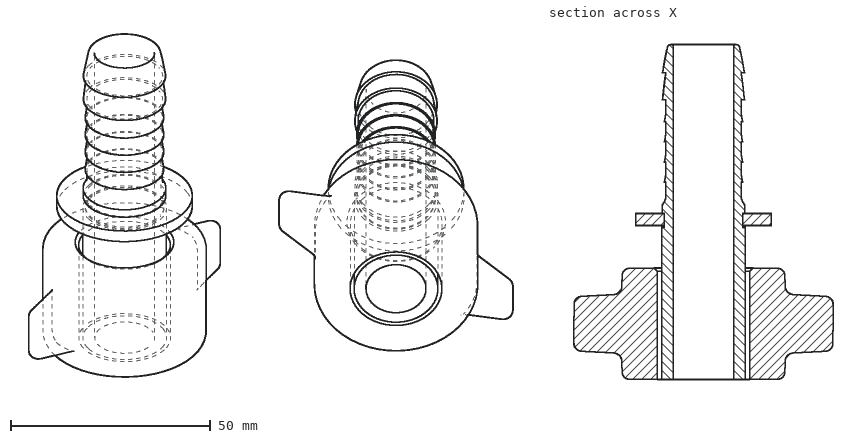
import cadquery as cq
import math

NUT_DIAMETER = 41.0
NUT_HEIGHT = 28.0
NUT_EDGE_RADIUS = 2.0
NUT_HOLE_DIAMETER = 23.0
NUT_HOLE_CHAMFER = 0.8

WING_SPAN = 65.0
WING_TIP_RADIUS = 2.4
WING_TIP_HEIGHT = 13.7
WING_SIDE_ANGLE = 15
WING_TOP_ANGLE = 3
WING_ROUND_RADIUS = 2.0
WING_START = 16.8

TOTAL_HEIGHT = 84
BORE_DIAMETER = 15.0
SPIGOT_DIAMETER = 21
SPIGOT_TOP = 38.1
NECK_DIAMETER = 19.7
COLLAR_DIAMETER = 20.75
COLLAR_TOP = 43.85
COLLAR_BLEND_HEIGHT = 2.3
ROOT_DIAMETER = 19.0
RIB_DIAMETER = 19.7
RIB_COUNT = 4
RIB_BOTTOM = 49.5
RIB_PITCH = 5
RIB_HEIGHT = 2.5
BARB_DIAMETER = 20.7
LOWER_BARB_BOTTOM = 70.05
UPPER_BARB_BOTTOM = 76.9
BARB_BULGE = 0.1
TIP_DIAMETER = 18.3
TIP_OUTER_RADIUS = 1.0
TIP_INNER_RADIUS = 0.6

WASHER_DIAMETER = 34.0
WASHER_BOTTOM = 38.55
WASHER_THICKNESS = 3.1
WASHER_TOP = WASHER_BOTTOM + WASHER_THICKNESS


def make_wing():
    """One tapered wing along +Y, centred on the height of the nut."""
    tip = WING_SPAN / 2
    length = tip - WING_START
    side_angle = math.radians(WING_SIDE_ANGLE)

    tangent_x = WING_TIP_RADIUS * math.cos(side_angle)
    tangent_y = tip - WING_TIP_RADIUS * (1 - math.sin(side_angle))
    half_root_width = tangent_x + (tangent_y - WING_START) * math.tan(side_angle)
    half_tip_height = WING_TIP_HEIGHT / 2
    half_root_height = half_tip_height + length * math.tan(math.radians(WING_TOP_ANGLE))

    plan = (
        cq.Workplane("XY")
        .moveTo(-half_root_width, WING_START)
        .lineTo(half_root_width, WING_START)
        .lineTo(tangent_x, tangent_y)
        .threePointArc((0, tip), (-tangent_x, tangent_y))
        .close()
        .extrude(half_root_height, both=True)
    )
    side = (
        cq.Workplane("YZ")
        .polyline([
            (WING_START, -half_root_height),
            (WING_START, half_root_height),
            (tip, half_tip_height),
            (tip, -half_tip_height),
        ])
        .close()
        .extrude(half_root_width, both=True)
    )
    wing = plan.intersect(side)
    wing = wing.faces("<Z or >Z").edges("not <Y").fillet(WING_ROUND_RADIUS)
    return wing.translate((0, 0, NUT_HEIGHT / 2))


def make_nut():
    """Round nut with two opposite wings and a clearance hole for the tail."""
    nut = cq.Workplane("XY").circle(NUT_DIAMETER / 2).extrude(NUT_HEIGHT)
    nut = nut.faces("<Z or >Z").edges().fillet(NUT_EDGE_RADIUS)
    wing = make_wing()
    for angle in (0, 180):
        nut = nut.union(wing.rotate((0, 0, 0), (0, 0, 1), angle))

    root_half_width = NUT_DIAMETER / 4
    for direction in (-1, 1):
        y_limits = sorted((direction * WING_START, direction * (NUT_DIAMETER / 2 + 0.8)))
        root_edges = cq.selectors.BoxSelector(
            (-root_half_width, y_limits[0], NUT_EDGE_RADIUS + 0.8),
            (root_half_width, y_limits[1], NUT_HEIGHT - NUT_EDGE_RADIUS - 0.8),
        )
        nut = nut.edges(root_edges).fillet(WING_ROUND_RADIUS)

    nut = nut.cut(cq.Workplane("XY").circle(NUT_HOLE_DIAMETER / 2).extrude(NUT_HEIGHT))
    hole_edge = cq.selectors.RadiusNthSelector(0)
    return nut.faces(">Z").edges(hole_edge).chamfer(NUT_HOLE_CHAMFER)


def flank_middle(bottom, top):
    """Middle point of a slightly bowed barb flank between two (radius, height) points."""
    return ((bottom[0] + top[0]) / 2 + BARB_BULGE, (bottom[1] + top[1]) / 2)


def make_tail():
    """Hollow hose tail, revolved from its half section."""
    bore = BORE_DIAMETER / 2
    spigot = SPIGOT_DIAMETER / 2
    neck = NECK_DIAMETER / 2
    collar = COLLAR_DIAMETER / 2
    root = ROOT_DIAMETER / 2
    rib = RIB_DIAMETER / 2
    barb = BARB_DIAMETER / 2
    tip = TIP_DIAMETER / 2

    profile = (
        cq.Workplane("XZ")
        .moveTo(bore, 0)
        .lineTo(spigot, 0)
        .lineTo(spigot, SPIGOT_TOP)
        .lineTo(neck, SPIGOT_TOP)
        .lineTo(neck, WASHER_TOP)
        .lineTo(collar, WASHER_TOP)
        .lineTo(collar, COLLAR_TOP)
    )

    step = collar - root
    blend_radius = (step**2 + COLLAR_BLEND_HEIGHT**2) / (2 * step)
    profile = profile.radiusArc((root, COLLAR_TOP + COLLAR_BLEND_HEIGHT), blend_radius)

    for index in range(RIB_COUNT):
        bottom = RIB_BOTTOM + index * RIB_PITCH
        profile = (
            profile.lineTo(root, bottom)
            .lineTo(rib, bottom)
            .lineTo(root, bottom + RIB_HEIGHT)
        )

    lower_bottom = (barb, LOWER_BARB_BOTTOM)
    lower_top = (root, UPPER_BARB_BOTTOM)
    upper_bottom = (barb, UPPER_BARB_BOTTOM)
    upper_top = (tip, TOTAL_HEIGHT - TIP_OUTER_RADIUS)
    profile = (
        profile.lineTo(root, LOWER_BARB_BOTTOM)
        .lineTo(*lower_bottom)
        .threePointArc(flank_middle(lower_bottom, lower_top), lower_top)
        .lineTo(*upper_bottom)
        .threePointArc(flank_middle(upper_bottom, upper_top), upper_top)
    )

    profile = (
        profile.radiusArc((tip - TIP_OUTER_RADIUS, TOTAL_HEIGHT), -TIP_OUTER_RADIUS)
        .lineTo(bore + TIP_INNER_RADIUS, TOTAL_HEIGHT)
        .radiusArc((bore, TOTAL_HEIGHT - TIP_INNER_RADIUS), -TIP_INNER_RADIUS)
        .close()
    )
    return profile.revolve(360, (0, 0, 0), (0, 1, 0))


def make_washer():
    """Flat washer seated in the neck groove, against the collar."""
    return (
        cq.Workplane("XY", origin=(0, 0, WASHER_BOTTOM))
        .circle(WASHER_DIAMETER / 2)
        .circle(NECK_DIAMETER / 2)
        .extrude(WASHER_THICKNESS)
    )


nut = make_nut()
tail = make_tail()
washer = make_washer()

result = cq.Compound.makeCompound([nut.val(), tail.val(), washer.val()])